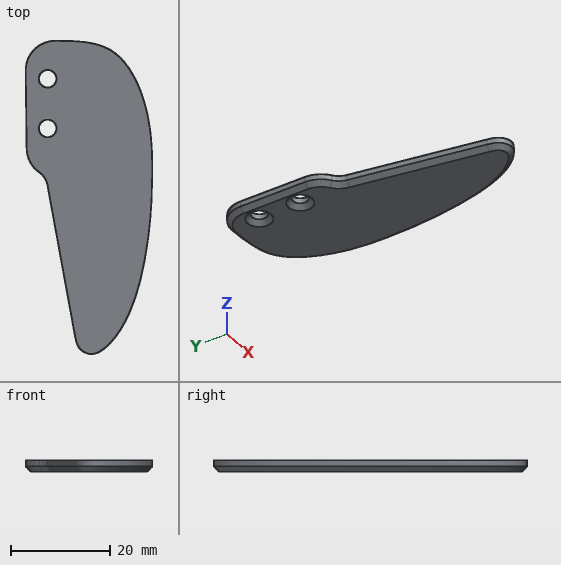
import cadquery as cq
import math

length = 63.12
width = 25.55
thickness = 2.36
edge_chamfer = 1.1

hole_diameter = 3.5
hole_x = 4.45
upper_hole_y = 55.45
hole_spacing = 10.0
hole_count = 2

corner_radius = 6.0
top_edge_heading = -90.0
heel_length = 15.6
heel_heading = 0.7
heel_radius = 6.0
ramp_heading = 55.0
step_radius = 4.0
blade_heading = 10.35
blade_length = 30.9

outer_edge_points = [
    (10.8, 1.25),
    (13.1, 0.0),
    (16.4, 1.6),
    (19.3, 5.2),
    (23.9, 18.4),
    (width, 36.8),
    (23.6, 51.8),
    (17.0, 61.3),
]
corner_end = (corner_radius, length)


def heading_vector(heading):
    """Unit vector along a heading."""
    angle = math.radians(heading)
    return (math.sin(angle), -math.cos(angle))


def after_line(start, heading, distance):
    """Point reached by going a distance along a heading."""
    along = heading_vector(heading)
    return (start[0] + distance * along[0], start[1] + distance * along[1])


def after_arc(start, start_heading, end_heading, radius):
    """End of a tangent arc that turns between two headings."""
    mean_heading = (start_heading + end_heading) / 2
    half_turn = math.radians(abs(end_heading - start_heading)) / 2
    return after_line(start, mean_heading, 2 * radius * math.sin(half_turn))


def plate_outline():
    """Closed outline, drawn from the top edge down the inner edge and back up the outer edge."""
    corner_middle_heading = (top_edge_heading + heel_heading) / 2
    corner_middle = after_arc(corner_end, top_edge_heading, corner_middle_heading, corner_radius)
    heel_top = after_arc(corner_end, top_edge_heading, heel_heading, corner_radius)
    heel_bottom = after_line(heel_top, heel_heading, heel_length)
    step_middle = after_arc(heel_bottom, heel_heading, ramp_heading, heel_radius)
    blade_start = after_arc(step_middle, ramp_heading, blade_heading, step_radius)
    blade_end = after_line(blade_start, blade_heading, blade_length)
    return (
        cq.Workplane("XY")
        .moveTo(*corner_end)
        .threePointArc(corner_middle, heel_top)
        .lineTo(*heel_bottom)
        .tangentArcPoint(step_middle, relative=False)
        .tangentArcPoint(blade_start, relative=False)
        .lineTo(*blade_end)
        .spline(
            outer_edge_points + [corner_end],
            tangents=[heading_vector(blade_heading), heading_vector(top_edge_heading)],
            scale=False,
            includeCurrent=True,
        )
        .close()
    )


def mounting_holes():
    """Cylinders that cut the through holes."""
    centres = [(hole_x, upper_hole_y - i * hole_spacing) for i in range(hole_count)]
    return cq.Workplane("XY").pushPoints(centres).circle(hole_diameter / 2).extrude(thickness)


plate = plate_outline().extrude(thickness).cut(mounting_holes())
result = plate.faces("<Z").chamfer(edge_chamfer)